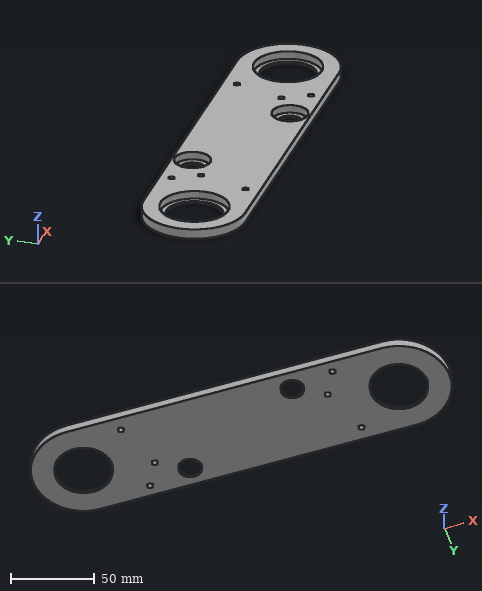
import cadquery as cq

length = 263.5
width = 63.5
thickness = 6.35
end_spacing = length - width

seat_depth = 5.0
large_seat_diameter = 42.0
large_bore_diameter = 35.0
small_seat_diameter = 22.0
small_bore_diameter = 14.0
small_seat_x = -39.0
small_seat_y = 19.05

screw_diameter = 3.5
screw_positions = [(-66.2, 24.2), (-57.7, 8.2), (-68.5, -22.7)]


def with_opposites(points):
    """Add to each point its partner half a turn around the plate centre."""
    return points + [(-x, -y) for x, y in points]


def make_plate():
    """Flat plate with full-round ends, concentric with the large seats."""
    return cq.Workplane("XY").slot2D(length, width).extrude(thickness)


def cut_seats(plate, points, bore_diameter, seat_diameter):
    """Cut counterbored through holes from the top face."""
    return (
        plate.faces(">Z")
        .workplane(origin=(0, 0, thickness))
        .pushPoints(points)
        .cboreHole(bore_diameter, seat_diameter, seat_depth)
    )


def drill_screw_holes(plate, points):
    """Drill plain through holes."""
    return (
        plate.faces(">Z")
        .workplane(origin=(0, 0, thickness))
        .pushPoints(points)
        .hole(screw_diameter)
    )


large_seats = with_opposites([(-end_spacing / 2, 0)])
small_seats = with_opposites([(small_seat_x, small_seat_y)])

plate = make_plate()
plate = cut_seats(plate, large_seats, large_bore_diameter, large_seat_diameter)
plate = cut_seats(plate, small_seats, small_bore_diameter, small_seat_diameter)
result = drill_screw_holes(plate, with_opposites(screw_positions))